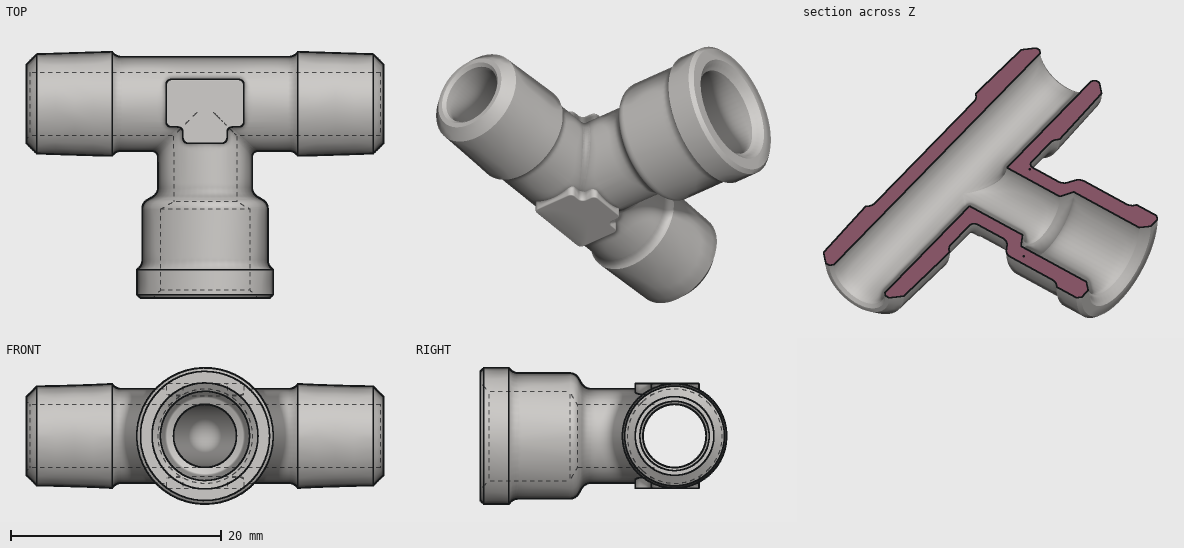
import cadquery as cq
import math

run_half_length = 17.0
branch_length = 18.5
pipe_radius = 4.5
bore_radius = 3.0

male_length = 8.15
male_root_radius = 4.97
thread_taper = 1 / 16
male_tip_chamfer = 1.0
male_bore_chamfer = 0.3

blend_radius = 1.0
blend_angle = math.radians(60)
pipe_fillet = 0.5

socket_radius = 6.0
socket_length = 8.5
collar_radius = 6.5
collar_length = 2.73
collar_chamfer = 0.35
socket_bore_radius = 4.25
socket_bore_depth = 8.5
socket_mouth_radius = 5.05
drill_tip_angle = math.radians(60)

pad_height = 5.0
pad_width = 7.4
pad_back = 2.33
pad_step = -2.2
pad_front = -3.75
pad_tongue_width = 4.2
pad_corner_radius = 0.5
pad_edge_fillet = 0.1


def blend_point(start, angle, axial_sign, radial_sign):
    """Point reached from start = (axial, radius) along a blend arc after turning by angle."""
    axial = start[0] + axial_sign * blend_radius * math.sin(angle)
    radius = start[1] + radial_sign * blend_radius * (1 - math.cos(angle))
    return axial, radius


def turned(profile):
    """Revolve a profile drawn with X as its axis."""
    return profile.close().revolve(360, (0, 0, 0), (1, 0, 0))


def along_branch(body):
    """Turn a body built along +X to point along -Y."""
    return body.rotate((0, 0, 0), (0, 0, 1), -90)


def male_end():
    root = run_half_length - male_length
    tip_edge = run_half_length - male_tip_chamfer
    tip_edge_radius = male_root_radius - (tip_edge - root) * thread_taper / 2
    turn = math.acos(1 - (male_root_radius - pipe_radius) / blend_radius)
    pipe_end = (root - blend_radius * math.sin(turn), pipe_radius)
    profile = (
        cq.Workplane("XY")
        .moveTo(pipe_end[0], 0)
        .lineTo(*pipe_end)
        .threePointArc(blend_point(pipe_end, turn / 2, 1, 1), (root, male_root_radius))
        .lineTo(tip_edge, tip_edge_radius)
        .lineTo(run_half_length, tip_edge_radius - male_tip_chamfer)
        .lineTo(run_half_length, 0)
    )
    return turned(profile)


def female_branch():
    shoulder = (branch_length - socket_length, socket_radius)
    shoulder_end = blend_point(shoulder, blend_angle, -1, -1)

    neck_end_radius = pipe_radius + blend_radius * (1 - math.cos(blend_angle))
    cone_length = (shoulder_end[1] - neck_end_radius) / math.tan(blend_angle)
    neck_end = (shoulder_end[0] - cone_length, neck_end_radius)
    neck = (neck_end[0] - blend_radius * math.sin(blend_angle), pipe_radius)

    collar = (branch_length - collar_length, collar_radius)
    collar_turn = math.acos(1 - (collar_radius - socket_radius) / blend_radius)
    collar_foot = (collar[0] - blend_radius * math.sin(collar_turn), socket_radius)

    profile = (
        cq.Workplane("XY")
        .lineTo(0, pipe_radius)
        .lineTo(*neck)
        .threePointArc(blend_point(neck, blend_angle / 2, 1, 1), neck_end)
        .lineTo(*shoulder_end)
        .threePointArc(blend_point(shoulder, blend_angle / 2, -1, -1), shoulder)
        .lineTo(*collar_foot)
        .threePointArc(blend_point(collar_foot, collar_turn / 2, 1, 1), collar)
        .lineTo(branch_length - collar_chamfer, collar_radius)
        .lineTo(branch_length, collar_radius - collar_chamfer)
        .lineTo(branch_length, 0)
    )
    return along_branch(turned(profile))


def pads():
    half_width = pad_width / 2
    half_tongue = pad_tongue_width / 2
    outline = [
        (-half_width, pad_back),
        (half_width, pad_back),
        (half_width, pad_step),
        (half_tongue, pad_step),
        (half_tongue, pad_front),
        (-half_tongue, pad_front),
        (-half_tongue, pad_step),
        (-half_width, pad_step),
    ]
    return (
        cq.Workplane("XY")
        .polyline(outline)
        .close()
        .extrude(pad_height, both=True)
        .edges("|Z")
        .fillet(pad_corner_radius)
        .faces("<Z or >Z")
        .edges()
        .fillet(pad_edge_fillet)
    )


def fillet_crossing(body):
    """Round the two inner corners between the run and the branch, from pad to pad."""
    return body.edges("%ELLIPSE").fillet(pipe_fillet)


def male_bore_mouth():
    chamfer_start = run_half_length - male_bore_chamfer
    profile = (
        cq.Workplane("XY")
        .moveTo(chamfer_start, 0)
        .lineTo(chamfer_start, bore_radius)
        .lineTo(run_half_length, bore_radius + male_bore_chamfer)
        .lineTo(run_half_length, 0)
    )
    return turned(profile)


def female_bore():
    bore_end = branch_length - socket_bore_depth
    tip_length = (socket_bore_radius - bore_radius) / math.tan(drill_tip_angle)
    mouth_chamfer = socket_mouth_radius - socket_bore_radius
    profile = (
        cq.Workplane("XY")
        .lineTo(0, bore_radius)
        .lineTo(bore_end - tip_length, bore_radius)
        .lineTo(bore_end, socket_bore_radius)
        .lineTo(branch_length - mouth_chamfer, socket_bore_radius)
        .lineTo(branch_length, socket_mouth_radius)
        .lineTo(branch_length, 0)
    )
    return along_branch(turned(profile))


def run_cylinder(radius, half_length):
    return cq.Workplane("YZ").circle(radius).extrude(half_length, both=True)


def add_both_ends(run, end):
    return run.union(end).union(end.mirror("YZ"))


run = add_both_ends(run_cylinder(pipe_radius, run_half_length - male_length), male_end())
run_bore = add_both_ends(run_cylinder(bore_radius, run_half_length), male_bore_mouth())
outside = fillet_crossing(run.union(female_branch()).union(pads()))
result = outside.cut(run_bore).cut(female_bore())